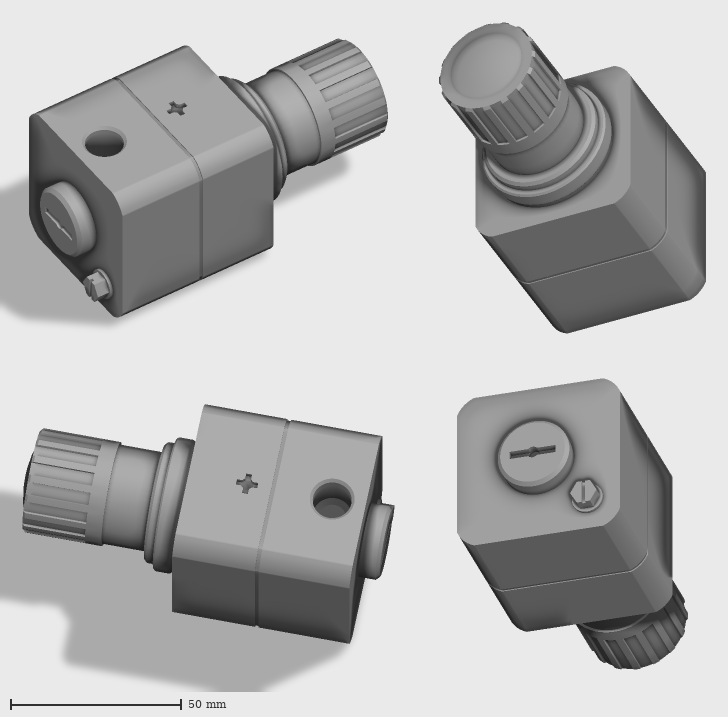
import cadquery as cq
import math


drill_tip_angle = 30
drill_tip_slope = math.tan(math.radians(drill_tip_angle))

block_side = 50.0
block_length = 53.0
half_side = block_side / 2
corner_leg = 5.2
corner_bulge = 0.8
corner_blend = 1.1
seam_start = 27.1
seam_width = 1.2
seam_depth = 0.3

base_radius = 19.5
ring_radius = 20.0
ring_start = 54.6
ring_end = 59.9
ring_chamfer = 0.5
flange_radius = 18.0
flange_end = 63.1
flange_chamfer = 0.9

port_y = 10.0
port_diameter = 11.5
port_mouth_diameter = 13.2
port_floor_diameter = 8.0
port_depth = 13.0

vent_offset = 15.2
vent_collar_diameter = 9.4
vent_collar_height = 1.0
vent_hex_flats = 7.0
vent_height = 4.9
vent_slot_width = 1.0
vent_slot_depth = 1.0

plug_radius = 11.0
plug_height = 6.0
plug_chamfer = 1.1
plug_slot_length = 14.3
plug_slot_width = 2.4
plug_slot_depth = 2.4
plug_hole_diameter = 3.6
plug_hole_depth = 3.2

screw_y = 35.5
screw_diameter = 11.0
screw_length = 4.3
cross_span = 6.4
cross_width = 1.7
cross_depth = 1.6
cross_hole_diameter = 3.6

neck_radius = 14.8
undercut_radius = 14.6
undercut_end = 63.6
grip_radius = 15.5
grip_start = 76.1
grip_end = 99.9
grip_chamfer = 0.8
dome_radius = 11.5
knob_end = 102.0
groove_start = 81.0
ridge_count = 16
ridge_width = 2.2
groove_floor_radius = grip_radius - grip_chamfer


def along_y(start):
    """Workplane at Y = start whose normal is +Y and whose local Y is Z."""
    return cq.Workplane(cq.Plane(origin=(0, start, 0), xDir=(-1, 0, 0), normal=(0, 1, 0)))


def along_front(start):
    """Workplane at Y = start whose normal is -Y, with local axes X and Z."""
    return cq.Workplane("XZ", origin=(0, start, 0))


def revolve_about_y(profile):
    """Solid of revolution about Y from a closed (radius, y) profile."""
    return profile.close().revolve(360, (0, 0, 0), (0, 1, 0))


def block_prism(start, length, inset):
    """Square prism whose corners are shallow arcs with softly blended ends."""
    side = half_side - inset
    flat = side - corner_leg
    middle = side - corner_leg / 2 + corner_bulge / math.sqrt(2)
    return (
        along_y(start)
        .moveTo(flat, side)
        .threePointArc((middle, middle), (side, flat))
        .lineTo(side, -flat)
        .threePointArc((middle, -middle), (flat, -side))
        .lineTo(-flat, -side)
        .threePointArc((-middle, -middle), (-side, -flat))
        .lineTo(-side, flat)
        .threePointArc((-middle, middle), (-flat, side))
        .close()
        .extrude(length)
        .edges("|Y")
        .fillet(corner_blend)
    )


def make_collar():
    profile = (
        cq.Workplane("XY")
        .moveTo(0, block_length)
        .lineTo(base_radius, block_length)
        .lineTo(base_radius, ring_start)
        .lineTo(ring_radius, ring_start + ring_chamfer)
        .lineTo(ring_radius, ring_end - ring_chamfer)
        .lineTo(ring_radius - ring_chamfer, ring_end)
        .lineTo(flange_radius, ring_end)
        .lineTo(flange_radius, flange_end - flange_chamfer)
        .lineTo(flange_radius - flange_chamfer, flange_end)
        .lineTo(0, flange_end)
    )
    return revolve_about_y(profile)


def make_port():
    """Threaded port: chamfered mouth, straight bore and a conical run to a flat floor."""
    bore_radius = port_diameter / 2
    mouth_radius = port_mouth_diameter / 2
    floor_radius = port_floor_diameter / 2
    mouth_depth = mouth_radius - bore_radius
    cone_height = (bore_radius - floor_radius) * drill_tip_slope
    return (
        cq.Workplane("XZ", origin=(0, port_y, half_side))
        .lineTo(mouth_radius, 0)
        .lineTo(bore_radius, -mouth_depth)
        .lineTo(bore_radius, -port_depth + cone_height)
        .lineTo(floor_radius, -port_depth)
        .lineTo(0, -port_depth)
        .close()
        .revolve(360, (0, 0, 0), (0, 1, 0))
    )


def make_vent_head():
    """Hexagonal head on a round collar, with a screwdriver slot."""
    centre = (vent_offset, -vent_offset)
    across_corners = vent_hex_flats / math.cos(math.pi / 6)
    collar = along_front(0).center(*centre).circle(vent_collar_diameter / 2).extrude(vent_collar_height)
    hexagon = along_front(0).center(*centre).polygon(6, across_corners).extrude(vent_height)
    slot = (
        along_front(-vent_height)
        .center(*centre)
        .rect(vent_slot_width, across_corners)
        .extrude(-vent_slot_depth)
    )
    return collar.union(hexagon).cut(slot)


def make_screw_blank():
    return (
        cq.Workplane("XY", origin=(0, screw_y, half_side))
        .circle(screw_diameter / 2)
        .extrude(-screw_length)
    )


def make_housing():
    seam_end = seam_start + seam_width
    front_block = block_prism(0, seam_start, 0)
    seam_core = block_prism(seam_start, seam_width, seam_depth)
    rear_block = block_prism(seam_end, block_length - seam_end, 0)
    block = front_block.union(seam_core).union(rear_block)
    solid = block.union(make_collar()).union(make_vent_head())
    return solid.cut(make_port()).cut(make_screw_blank())


def make_plug():
    """Round plug with a slot and a centre hole in its front face."""
    disc = along_front(0).circle(plug_radius).extrude(plug_height).faces("<Y").chamfer(plug_chamfer)
    face = along_front(-plug_height)
    slot = face.rect(plug_slot_length, plug_slot_width).extrude(-plug_slot_depth)
    hole = face.circle(plug_hole_diameter / 2).extrude(-plug_hole_depth)
    return disc.cut(slot).cut(hole)


def make_screw():
    """Flush screw with a cross recess around a drilled centre with a conical end."""
    hole_radius = cross_hole_diameter / 2
    face = cq.Workplane("XY", origin=(0, screw_y, half_side))
    arm_x = face.rect(cross_span, cross_width).extrude(-cross_depth)
    arm_y = face.rect(cross_width, cross_span).extrude(-cross_depth)
    drilled = (
        cq.Workplane("XZ", origin=(0, screw_y, half_side))
        .lineTo(hole_radius, 0)
        .lineTo(hole_radius, -cross_depth)
        .lineTo(0, -cross_depth - hole_radius * drill_tip_slope)
        .close()
        .revolve(360, (0, 0, 0), (0, 1, 0))
    )
    return make_screw_blank().cut(arm_x).cut(arm_y).cut(drilled)


def make_grip_grooves():
    """Ring around the grip minus the ridges, leaving the shallow grooves between them."""
    length = knob_end - groove_start
    ring = along_y(groove_start).circle(grip_radius).circle(groove_floor_radius).extrude(length)
    for index in range(ridge_count):
        ridge = (
            along_y(groove_start)
            .center(grip_radius, 0)
            .rect(grip_radius, ridge_width)
            .extrude(length)
            .rotate((0, 0, 0), (0, 1, 0), index * 360 / ridge_count)
        )
        ring = ring.cut(ridge)
    return ring


def make_knob():
    dome_height = knob_end - grip_end
    sphere_radius = (dome_radius**2 + dome_height**2) / (2 * dome_height)
    dome_middle_radius = dome_radius / 2
    dome_middle_y = knob_end - sphere_radius + math.sqrt(sphere_radius**2 - dome_middle_radius**2)
    profile = (
        cq.Workplane("XY")
        .moveTo(0, flange_end)
        .lineTo(undercut_radius, flange_end)
        .lineTo(undercut_radius, undercut_end)
        .lineTo(neck_radius, undercut_end)
        .lineTo(neck_radius, grip_start)
        .lineTo(grip_radius, grip_start)
        .lineTo(grip_radius, grip_end - grip_chamfer)
        .lineTo(grip_radius - grip_chamfer, grip_end)
        .lineTo(dome_radius, grip_end)
        .threePointArc((dome_middle_radius, dome_middle_y), (0, knob_end))
    )
    return revolve_about_y(profile).cut(make_grip_grooves())


housing = make_housing()
knob = make_knob()
plug = make_plug()
screw = make_screw()

result = cq.Compound.makeCompound([housing.val(), knob.val(), plug.val(), screw.val()])